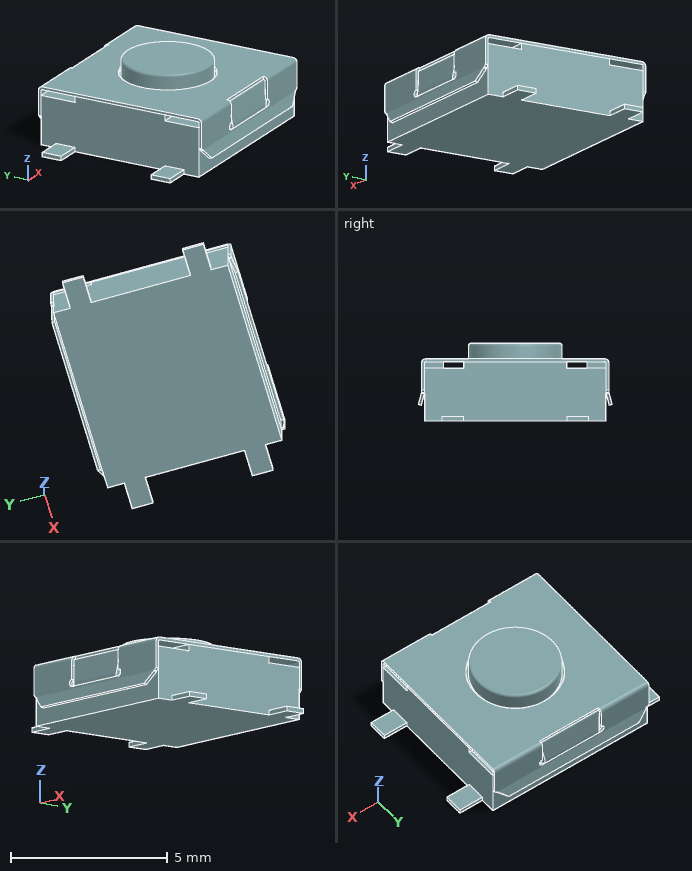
import cadquery as cq
import math

LEAD_SPAN = 8.0
BASE_LENGTH = 6.2
BASE_DEPTH = 5.8
COVER_DEPTH = 6.0
COVER_TOP = 2.0
BUTTON_TOP = 2.5

SHEET = (COVER_DEPTH - BASE_DEPTH) / 2
BEND_OUTER_RADIUS = 0.15
BEND_INNER_RADIUS = BEND_OUTER_RADIUS - SHEET
FLARE_DEPTH = 6.2
FLARE_ANGLE = math.radians(15)
FLARE_BEND_HEIGHT = 0.91
FLARE_BEND_RADIUS = 0.05
CORNER_CUT_TOP = 0.99
BUTTON_HOLE_DIAMETER = 3.15
WINDOW_WIDTH = 2.35
WINDOW_BOTTOM = 1.0
RELIEF_RADIUS = 0.11

BASE_TOP = COVER_TOP - SHEET
BUTTON_DIAMETER = 3.0
BUTTON_FILLET = 0.1
POCKET_FLOOR = 1.7
POCKET_INNER_Y = 1.65
CHANNEL_OUTER_Y = 2.29
LATCH_NOSE_TOP = 1.11

LEAD_WIDTH = 0.7
LEAD_THICKNESS = 0.15
LEAD_SPACING = 4.0

BEND_HEIGHT = COVER_TOP - BEND_OUTER_RADIUS
BASE_Y = BASE_DEPTH / 2
COVER_Y = COVER_DEPTH / 2
BEND_Y = COVER_Y - BEND_OUTER_RADIUS
FLARE_BEND_CENTER = (COVER_Y + FLARE_BEND_RADIUS, FLARE_BEND_HEIGHT)
SIDES = (-1, 1)


def block(x_range, y_range, z_range):
    """Box between the given limits on each axis."""
    (x0, x1), (y0, y1), (z0, z1) = x_range, y_range, z_range
    return cq.Workplane("XY").box(x1 - x0, y1 - y0, z1 - z0, centered=False).translate((x0, y0, z0))


def on_both_y_sides(shape):
    """Shape together with its mirror image across the XZ plane."""
    return shape.union(shape.mirror("XZ"))


def extrude_along_x(profile, length):
    """Extrude a YZ profile symmetrically along X."""
    return profile.extrude(length / 2, both=True)


def make_latch():
    """Wedge on the +Y wall of the base that snaps into the cover window."""
    profile = cq.Workplane("YZ").polyline([
        (BASE_Y, BEND_HEIGHT),
        (COVER_Y, LATCH_NOSE_TOP),
        (COVER_Y, WINDOW_BOTTOM),
        (BASE_Y, WINDOW_BOTTOM),
    ]).close()
    half_width = WINDOW_WIDTH / 2
    nose_half_width = half_width - SHEET
    tapered_plan = cq.Workplane("XY").polyline([
        (-half_width, BASE_Y),
        (half_width, BASE_Y),
        (nose_half_width, COVER_Y),
        (-nose_half_width, COVER_Y),
    ]).close().extrude(COVER_TOP)
    return extrude_along_x(profile, WINDOW_WIDTH).intersect(tapered_plan)


def make_top_pockets():
    """Space on the +Y side of the base top: a channel along X that widens to the edge at both ends."""
    half_length = BASE_LENGTH / 2
    z_range = (POCKET_FLOOR, BASE_TOP)
    pockets = block((-half_length, half_length), (POCKET_INNER_Y, CHANNEL_OUTER_Y), z_range)
    end_pocket = block((WINDOW_WIDTH / 2, half_length), (POCKET_INNER_Y, BASE_Y), z_range)
    return pockets.union(end_pocket).union(end_pocket.mirror("YZ"))


def make_lead(side_x, side_y):
    """Flat lead that sticks out from an X side of the base at its bottom."""
    length = (LEAD_SPAN - BASE_LENGTH) / 2
    center_x = side_x * (BASE_LENGTH + length) / 2
    center_y = side_y * LEAD_SPACING / 2
    lead = cq.Workplane("XY").box(length, LEAD_WIDTH, LEAD_THICKNESS, centered=(True, True, False))
    return lead.translate((center_x, center_y, 0))


def make_button():
    """Round push button with a rounded top edge, standing on the base."""
    button = cq.Workplane("XY").workplane(offset=BASE_TOP)
    button = button.circle(BUTTON_DIAMETER / 2).extrude(BUTTON_TOP - BASE_TOP)
    return button.faces(">Z").edges().fillet(BUTTON_FILLET)


def make_base():
    """Moulded base with its push button, latches and leads as one solid."""
    base = cq.Workplane("XY").box(BASE_LENGTH, BASE_DEPTH, BASE_TOP, centered=(True, True, False))
    base = base.faces(">Z").edges("|X").fillet(BEND_INNER_RADIUS)
    base = base.cut(on_both_y_sides(make_top_pockets()))
    base = base.union(make_button())
    base = base.union(on_both_y_sides(make_latch()))
    for side_x in SIDES:
        for side_y in SIDES:
            base = base.union(make_lead(side_x, side_y))
    return base


def point_on_arc(center, radius, angle):
    """YZ point on a circle, with the angle counted from +Y towards +Z."""
    return (center[0] + radius * math.cos(angle), center[1] + radius * math.sin(angle))


def cut_lip_corners(skirt, lip_length):
    """Trim the lower corners of the wall and lip along a 45 degree line of the unbent sheet."""
    corner_x = BASE_LENGTH / 2
    wall_cut_x = corner_x - (CORNER_CUT_TOP - FLARE_BEND_HEIGHT)
    lip_cut_x = wall_cut_x - FLARE_ANGLE * (FLARE_BEND_RADIUS + SHEET / 2)
    wall_cut = cq.Workplane("XZ").polyline([
        (corner_x, CORNER_CUT_TOP),
        (wall_cut_x, FLARE_BEND_HEIGHT),
        (lip_cut_x, FLARE_BEND_HEIGHT),
        (lip_cut_x, 0),
        (corner_x, 0),
    ]).close().extrude(-FLARE_DEPTH)
    lip_cut = cq.Workplane("XZ").polyline([
        (lip_cut_x, FLARE_BEND_HEIGHT),
        (lip_cut_x, FLARE_BEND_HEIGHT - lip_length),
        (lip_cut_x - lip_length, FLARE_BEND_HEIGHT - lip_length),
    ]).close().extrude(-FLARE_DEPTH)
    center_y, center_z = FLARE_BEND_CENTER
    lip_cut = lip_cut.rotate((0, center_y, center_z), (1, center_y, center_z), math.degrees(FLARE_ANGLE))
    corner_cut = wall_cut.union(lip_cut)
    return skirt.cut(corner_cut).cut(corner_cut.mirror("YZ"))


def make_skirt():
    """+Y half of the bent sheet: flat top, rounded bend, vertical wall and flared lip."""
    outer_radius = FLARE_BEND_RADIUS
    inner_radius = FLARE_BEND_RADIUS + SHEET
    bend_middle = math.pi + FLARE_ANGLE / 2
    bend_end = math.pi + FLARE_ANGLE
    lip_start = point_on_arc(FLARE_BEND_CENTER, outer_radius, bend_end)
    inner_lip_start = point_on_arc(FLARE_BEND_CENTER, inner_radius, bend_end)
    lip_length = (FLARE_DEPTH / 2 - lip_start[0]) / math.sin(FLARE_ANGLE)
    lip_dy = lip_length * math.sin(FLARE_ANGLE)
    lip_dz = -lip_length * math.cos(FLARE_ANGLE)

    top_bend_center = (BEND_Y, BEND_HEIGHT)
    outer_top_middle = point_on_arc(top_bend_center, BEND_OUTER_RADIUS, math.pi / 4)
    inner_top_middle = point_on_arc(top_bend_center, BEND_INNER_RADIUS, math.pi / 4)
    outer_flare_middle = point_on_arc(FLARE_BEND_CENTER, outer_radius, bend_middle)
    inner_flare_middle = point_on_arc(FLARE_BEND_CENTER, inner_radius, bend_middle)
    profile = (
        cq.Workplane("YZ")
        .moveTo(0, COVER_TOP)
        .lineTo(BEND_Y, COVER_TOP)
        .threePointArc(outer_top_middle, (COVER_Y, BEND_HEIGHT))
        .lineTo(COVER_Y, FLARE_BEND_HEIGHT)
        .threePointArc(outer_flare_middle, lip_start)
        .lineTo(lip_start[0] + lip_dy, lip_start[1] + lip_dz)
        .lineTo(inner_lip_start[0] + lip_dy, inner_lip_start[1] + lip_dz)
        .lineTo(*inner_lip_start)
        .threePointArc(inner_flare_middle, (BASE_Y, FLARE_BEND_HEIGHT))
        .lineTo(BASE_Y, BEND_HEIGHT)
        .threePointArc(inner_top_middle, (BEND_Y, BASE_TOP))
        .lineTo(0, BASE_TOP)
        .close()
    )
    skirt = extrude_along_x(profile, BASE_LENGTH)
    return cut_lip_corners(skirt, lip_length)


def make_window():
    """Opening in the +Y wall and bend of the cover, with round reliefs at its lower corners."""
    half_width = WINDOW_WIDTH / 2
    window = block((-half_width, half_width), (BEND_Y, COVER_Y), (WINDOW_BOTTOM, COVER_TOP))
    relief_centers = [(side * half_width, WINDOW_BOTTOM + RELIEF_RADIUS) for side in SIDES]
    reliefs = cq.Workplane("XZ").pushPoints(relief_centers).circle(RELIEF_RADIUS).extrude(-COVER_Y)
    return window.union(reliefs)


def make_cover():
    """Sheet metal cover folded over the base, with a hole for the button."""
    cover = on_both_y_sides(make_skirt().cut(make_window()))
    button_hole = cq.Workplane("XY").circle(BUTTON_HOLE_DIAMETER / 2).extrude(COVER_TOP)
    return cover.cut(button_hole)


base = make_base()
cover = make_cover()
result = cq.Compound.makeCompound([base.val(), cover.val()])